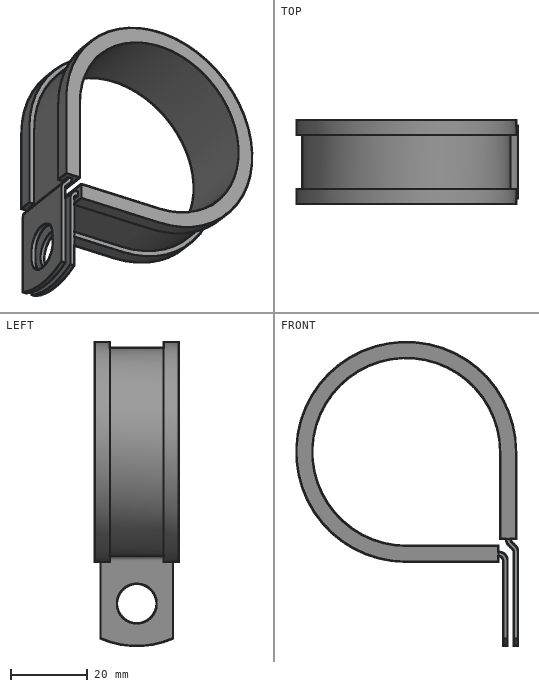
import cadquery as cq
import math

overall_length = 58.11
overall_height = 79.64

cushion_width = 22.1
cushion_outer_radius = 28.8
cushion_thickness = 4.25
flange_width = 4.0
channel_depth = 1.5
cushion_side_length = 22.75
cushion_bottom_length = 24.15

strap_width = 19.0
strap_thickness = 1.2
strap_outer_radius = cushion_outer_radius - channel_depth
inner_bend_radius = 1.2
outer_bend_radius = inner_bend_radius + strap_thickness
jog_angle = 45.0

tab_hole_diameter = 10.3
tab_slot_length = 12.8
tab_hole_height = -39.7
tab_end_sagitta = 2.0

tab_end_height = cushion_outer_radius - overall_height
tab_corner_height = tab_end_height + tab_end_sagitta
outer_tab_face = overall_length - cushion_outer_radius
strap_inner_radius = strap_outer_radius - strap_thickness


def loop_band(outer_radius, thickness, width):
    """Three-quarter ring with straight runs along the bottom and down the +X side."""
    inner_radius = outer_radius - thickness
    outer_midpoint = outer_radius * math.sqrt(0.5)
    inner_midpoint = inner_radius * math.sqrt(0.5)
    return (
        cq.Workplane("XZ")
        .moveTo(cushion_bottom_length, -outer_radius)
        .lineTo(0, -outer_radius)
        .threePointArc((-outer_midpoint, outer_midpoint), (outer_radius, 0))
        .lineTo(outer_radius, -cushion_side_length)
        .lineTo(inner_radius, -cushion_side_length)
        .lineTo(inner_radius, 0)
        .threePointArc((-inner_midpoint, inner_midpoint), (0, -inner_radius))
        .lineTo(cushion_bottom_length, -inner_radius)
        .close()
        .extrude(width / 2, both=True)
    )


def cushion():
    """Rubber strip with the channel between its two flanges."""
    channel_width = cushion_width - 2 * flange_width
    body = loop_band(cushion_outer_radius, cushion_thickness, cushion_width)
    return body.cut(loop_band(cushion_outer_radius, channel_depth, channel_width))


def inner_tab():
    """Tab that turns down from the bottom run of the strap."""
    tab_outer_face = cushion_bottom_length + outer_bend_radius
    tab_inner_face = cushion_bottom_length + inner_bend_radius
    bend_height = -strap_outer_radius - inner_bend_radius
    return (
        cq.Workplane("XZ")
        .moveTo(cushion_bottom_length, -strap_inner_radius)
        .radiusArc((tab_outer_face, bend_height), outer_bend_radius)
        .lineTo(tab_outer_face, tab_end_height)
        .lineTo(tab_inner_face, tab_end_height)
        .lineTo(tab_inner_face, bend_height)
        .radiusArc((cushion_bottom_length, -strap_outer_radius), -inner_bend_radius)
        .close()
        .extrude(strap_width / 2, both=True)
    )


def outer_tab():
    """Tab that jogs outward from the side run of the strap, then hangs straight down."""
    angle = math.radians(jog_angle)
    bend_drop_inner = inner_bend_radius * math.sin(angle)
    bend_drop_outer = outer_bend_radius * math.sin(angle)
    bend_shift_inner = inner_bend_radius * (1 - math.cos(angle))
    bend_shift_outer = outer_bend_radius * (1 - math.cos(angle))

    jog_offset = outer_tab_face - strap_outer_radius
    slope_shift = jog_offset - bend_shift_inner - bend_shift_outer
    slope_drop = slope_shift / math.tan(angle)
    top = -cushion_side_length
    bottom = top - bend_drop_inner - slope_drop - bend_drop_outer
    tab_inner_face = outer_tab_face - strap_thickness

    return (
        cq.Workplane("XZ")
        .moveTo(strap_outer_radius, top)
        .radiusArc((strap_outer_radius + bend_shift_inner, top - bend_drop_inner), -inner_bend_radius)
        .lineTo(outer_tab_face - bend_shift_outer, bottom + bend_drop_outer)
        .radiusArc((outer_tab_face, bottom), outer_bend_radius)
        .lineTo(outer_tab_face, tab_end_height)
        .lineTo(tab_inner_face, tab_end_height)
        .lineTo(tab_inner_face, bottom)
        .radiusArc((tab_inner_face - bend_shift_inner, bottom + bend_drop_inner), -inner_bend_radius)
        .lineTo(strap_inner_radius + bend_shift_outer, top - bend_drop_outer)
        .radiusArc((strap_inner_radius, top), outer_bend_radius)
        .close()
        .extrude(strap_width / 2, both=True)
    )


def tab_outline():
    """Block with the rounded lower end shared by both tabs."""
    half_width = strap_width / 2
    return (
        cq.Workplane("YZ")
        .moveTo(-half_width, 0)
        .lineTo(-half_width, tab_corner_height)
        .threePointArc((0, tab_end_height), (half_width, tab_corner_height))
        .lineTo(half_width, 0)
        .close()
        .extrude(overall_length)
    )


def bolt_hole():
    """Round cutter for the inner tab."""
    return (
        cq.Workplane("YZ")
        .center(0, tab_hole_height)
        .circle(tab_hole_diameter / 2)
        .extrude(overall_length)
    )


def bolt_slot():
    """Upright slot cutter for the outer tab, centred on the bolt hole."""
    return (
        cq.Workplane("YZ")
        .center(0, tab_hole_height)
        .slot2D(tab_slot_length, tab_hole_diameter, 90)
        .extrude(overall_length)
    )


def strap():
    """Metal strap with both finished tabs."""
    band = loop_band(strap_outer_radius, strap_thickness, strap_width)
    finished_inner_tab = inner_tab().intersect(tab_outline()).cut(bolt_hole())
    finished_outer_tab = outer_tab().intersect(tab_outline()).cut(bolt_slot())
    return band.union(finished_inner_tab).union(finished_outer_tab)


result = cushion().union(strap())